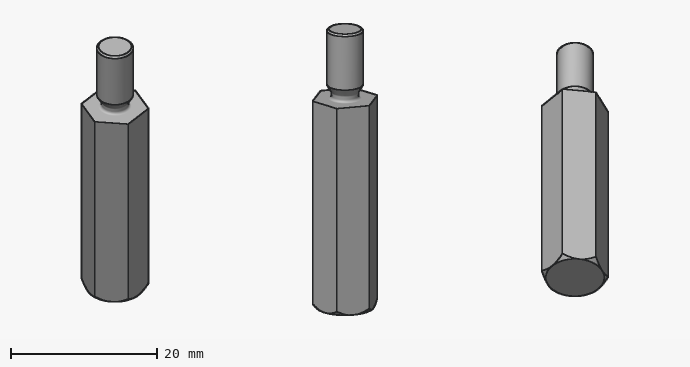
import cadquery as cq
import math

across_flats = 8.0
across_corners = across_flats / math.cos(math.radians(30))
body_height = 30.0

foot_diameter = across_flats
foot_chamfer_height = 0.7

stud_diameter = 5.0
stud_length = 10.0
tip_chamfer = 0.27

neck_diameter = 3.73
undercut_length = 2.0
neck_fillet = 0.4
undercut_angle = 30.0


def make_body():
    """Hexagonal prism, corners on the X axis, trimmed to a cone at its lower end."""
    foot_radius = foot_diameter / 2
    cone_slope = (across_corners / 2 - foot_radius) / foot_chamfer_height
    prism = cq.Workplane("XY").polygon(6, across_corners).extrude(body_height)
    cone = (
        cq.Workplane("XZ")
        .lineTo(foot_radius, 0)
        .lineTo(foot_radius + cone_slope * body_height, body_height)
        .lineTo(0, body_height)
        .close()
        .revolve(360, (0, 0, 0), (0, 1, 0))
    )
    return prism.intersect(cone)


def make_stud():
    """Revolved stud: filleted neck, cone out to full diameter, chamfered tip."""
    stud_radius = stud_diameter / 2
    neck_radius = neck_diameter / 2
    angle = math.radians(undercut_angle)

    cone_top = body_height + undercut_length
    tip = body_height + stud_length

    diagonal_gap = neck_fillet * (1 - math.sqrt(0.5))
    flare_start = (neck_radius + neck_fillet, body_height)
    flare_middle = (neck_radius + diagonal_gap, body_height + diagonal_gap)
    flare_end = (neck_radius, body_height + neck_fillet)

    cone_foot = cone_top - (stud_radius - neck_radius) / math.tan(angle)
    bend_base = cone_foot - neck_fillet * math.tan(angle / 2)

    def bend_point(turn):
        """Point on the upper fillet after turning away from the neck direction."""
        return (
            neck_radius + neck_fillet * (1 - math.cos(turn)),
            bend_base + neck_fillet * math.sin(turn),
        )

    return (
        cq.Workplane("XZ")
        .moveTo(0, body_height)
        .lineTo(*flare_start)
        .threePointArc(flare_middle, flare_end)
        .lineTo(*bend_point(0))
        .threePointArc(bend_point(angle / 2), bend_point(angle))
        .lineTo(stud_radius, cone_top)
        .lineTo(stud_radius, tip - tip_chamfer)
        .lineTo(stud_radius - tip_chamfer, tip)
        .lineTo(0, tip)
        .close()
        .revolve(360, (0, 0, 0), (0, 1, 0))
    )


result = make_body().union(make_stud())